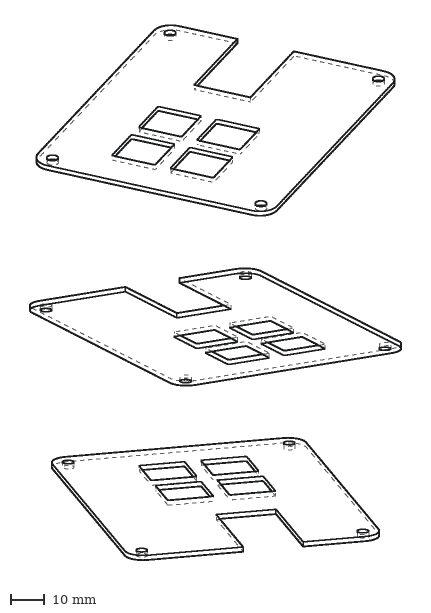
import cadquery as cq

width = 78.0
length = 94.3
thickness = 1.5
corner_radius = 5.6

hole_diameter = 3.4
hole_inset = 5.0

notch_width = 18.4
notch_depth = 31.1
notch_center_x = -5.1

window_size = 14.1
window_pitch = 19.1
window_corner_radius = 0.5
window_group_x = -2.0
window_group_y = -17.0


def make_plate():
    plate = cq.Workplane("XY").box(width, length, thickness)
    return plate.edges("|Z").fillet(corner_radius)


def make_mounting_holes():
    return (
        cq.Workplane("XY")
        .rect(width - 2 * hole_inset, length - 2 * hole_inset, forConstruction=True)
        .vertices()
        .circle(hole_diameter / 2)
        .extrude(thickness, both=True)
    )


def make_notch():
    notch_center_y = length / 2 - notch_depth / 2
    return (
        cq.Workplane("XY")
        .box(notch_width, notch_depth, 2 * thickness)
        .translate((notch_center_x, notch_center_y, 0))
    )


def make_windows():
    return (
        cq.Workplane("XY")
        .center(window_group_x, window_group_y)
        .rarray(window_pitch, window_pitch, 2, 2)
        .rect(window_size, window_size)
        .extrude(thickness, both=True)
        .edges("|Z")
        .fillet(window_corner_radius)
    )


result = make_plate().cut(make_mounting_holes()).cut(make_notch()).cut(make_windows())